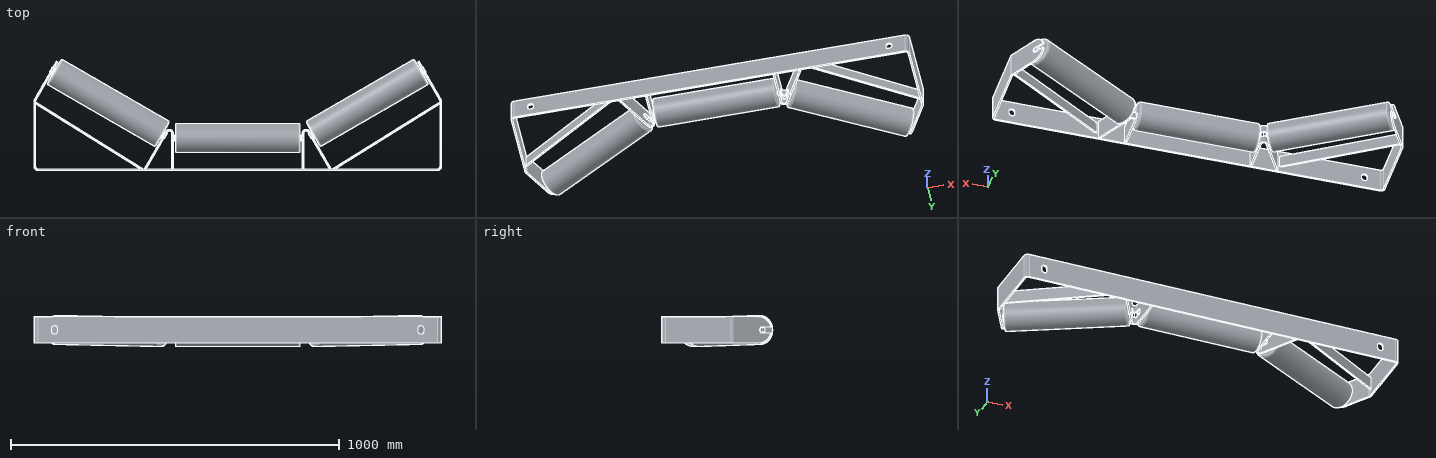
import cadquery as cq
import math


frame_length = 1240.0
frame_width = 80.0
frame_thickness = 5.0
frame_bend_radius = 12.0
leg_crown_beyond_shaft = 32.0
mount_hole_x = 557.5
mount_hole_width = 18.0
mount_hole_height = 26.0

roller_diameter = 89.0
roller_length = 380.0
roller_edge_radius = 4.0
centre_roller_y = 99.0
side_roller_x = 393.9
side_roller_y = 205.9
trough_angle = 30.0
roller_drop = 6.9

shaft_diameter = 18.0
shaft_flat_width = 14.0
shaft_flat_start = 2.0
side_shaft_overhang = 2.0
centre_end_gap = 6.0
side_end_gap = 5.2

bracket_thickness = 5.0
bracket_bend_inner_radius = 7.0

brace_thickness = 5.0
brace_width = 40.0
brace_top_y = 208.5
brace_foot_x = 288.0

axis_cos = math.cos(math.radians(trough_angle))
axis_sin = math.sin(math.radians(trough_angle))
half_length = frame_length / 2
half_width = frame_width / 2
frame_bend_inner_radius = frame_bend_radius - frame_thickness
roller_radius = roller_diameter / 2
shaft_radius = shaft_diameter / 2
centre_reach = roller_length / 2 + centre_end_gap
side_reach = roller_length / 2 + side_end_gap
outer_slot_station = side_reach + frame_thickness / 2
inner_slot_station = -side_reach - bracket_thickness / 2
side_tilt = math.degrees(math.atan(roller_drop / (outer_slot_station - inner_slot_station)))
side_roller_z = -roller_drop * outer_slot_station / (outer_slot_station - inner_slot_station)
bracket_half_width = half_width - roller_drop


def side_axis_point(station, rise=0.0):
    """Point at a station along the left side roller's axis (outward positive), raised square to the axis."""
    return (
        -side_roller_x - station * axis_cos + rise * axis_sin,
        side_roller_y + station * axis_sin + rise * axis_cos,
    )


def leg_point_at_y(station, y):
    """Point at a given Y on the line square to the side roller's axis at a station."""
    axis_x, axis_y = side_axis_point(station)
    return (axis_x + (y - axis_y) * axis_sin / axis_cos, y)


def leg_point_at_x(station, x):
    """Point at a given X on the line square to the side roller's axis at a station."""
    axis_x, axis_y = side_axis_point(station)
    return (x, axis_y + (x - axis_x) * axis_cos / axis_sin)


def on_side_axis(body, station):
    """Move a body built along X at the origin onto the left side roller's axis."""
    x, y = side_axis_point(station)
    return body.rotate((0, 0, 0), (0, 0, 1), -trough_angle).translate((x, y, 0))


def tilted(body):
    """Tilt a body about Y by the slope that the roller drop gives a side roller."""
    return body.rotate((0, 0, 0), (0, 1, 0), side_tilt)


def mirrored(body):
    return body.mirror("YZ")


def plate(points, z_bottom, z_top):
    """Plate of the given XY outline between two Z levels."""
    return cq.Workplane("XY").workplane(offset=z_bottom).polyline(points).close().extrude(z_top - z_bottom)


def round_bends(body, corners, radius):
    """Round the bend edges along Z that pass through the given XY corners."""
    for x, y in corners:
        nearest = cq.selectors.NearestToPointSelector((x, y, body.val().CenterOfBoundBox().z))
        body = body.edges("|Z").edges(nearest).fillet(radius)
    return body


def shaft_slot(thickness):
    """Cutter along X for a shaft at the origin: round at the bottom and open upward in Y."""
    cut_length = 3 * thickness
    return (
        cq.Workplane("YZ").workplane(offset=-cut_length / 2)
        .moveTo(frame_width, -shaft_radius)
        .lineTo(0, -shaft_radius)
        .threePointArc((-shaft_radius, 0), (0, shaft_radius))
        .lineTo(frame_width, shaft_radius)
        .close()
        .extrude(cut_length)
    )


def leg_end_trim():
    """Cutter that rounds the end of a frame leg to a half circle."""
    cut_length = 3 * frame_thickness
    crown_centre = leg_crown_beyond_shaft - half_width
    return (
        cq.Workplane("YZ").workplane(offset=-cut_length / 2)
        .moveTo(crown_centre, -half_width)
        .threePointArc((crown_centre + half_width, 0), (crown_centre, half_width))
        .lineTo(crown_centre + frame_width, half_width)
        .lineTo(crown_centre + frame_width, -half_width)
        .close()
        .extrude(cut_length)
    )


def make_frame():
    inner_x = -half_length + frame_thickness
    outer_station = side_reach + frame_thickness
    outer_knee = leg_point_at_x(outer_station, -half_length)
    inner_knee = leg_point_at_x(side_reach, inner_x)
    outer_foot = (-half_length, 0)
    inner_foot = (inner_x, frame_thickness)
    left_outline = [
        outer_foot,
        outer_knee,
        side_axis_point(outer_station, leg_crown_beyond_shaft),
        side_axis_point(side_reach, leg_crown_beyond_shaft),
        inner_knee,
        inner_foot,
    ]
    right_outline = [(-x, y) for x, y in reversed(left_outline)]
    frame = plate(left_outline + right_outline, -half_width, half_width)
    for radius, corners in (
        (frame_bend_radius, [outer_foot, outer_knee]),
        (frame_bend_inner_radius, [inner_foot, inner_knee]),
    ):
        both_sides = corners + [(-x, y) for x, y in corners]
        frame = round_bends(frame, both_sides, radius)

    trim = on_side_axis(leg_end_trim(), outer_slot_station)
    slot = on_side_axis(tilted(shaft_slot(frame_thickness)), outer_slot_station)
    for cutter in (trim, slot):
        frame = frame.cut(cutter).cut(mirrored(cutter))

    mount_holes = (
        cq.Workplane("XZ").pushPoints([(-mount_hole_x, 0), (mount_hole_x, 0)])
        .slot2D(mount_hole_height, mount_hole_width, 90)
        .extrude(-frame_thickness)
    )
    return frame.cut(mount_holes)


def make_bracket():
    """Left bracket: an upright for the centre roller and a leaning leg for the side roller."""
    upright_face_x = -centre_reach
    upright_back_x = upright_face_x - bracket_thickness
    leg_face = -side_reach
    leg_back = leg_face - bracket_thickness
    outer_apex = leg_point_at_x(leg_face, upright_face_x)
    inner_apex = leg_point_at_x(leg_back, upright_back_x)
    outline = [
        leg_point_at_y(leg_face, frame_thickness),
        outer_apex,
        (upright_face_x, frame_thickness),
        (upright_back_x, frame_thickness),
        inner_apex,
        leg_point_at_y(leg_back, frame_thickness),
    ]
    bracket = plate(outline, -roller_drop - bracket_half_width, -roller_drop + bracket_half_width)
    bracket = round_bends(bracket, [outer_apex], bracket_bend_inner_radius + bracket_thickness)
    bracket = round_bends(bracket, [inner_apex], bracket_bend_inner_radius)

    slot = shaft_slot(bracket_thickness)
    side_slot = on_side_axis(tilted(slot), inner_slot_station).translate((0, 0, -roller_drop))
    upright_middle_x = (upright_face_x + upright_back_x) / 2
    centre_slot = slot.translate((upright_middle_x, centre_roller_y, -roller_drop))
    return bracket.cut(side_slot).cut(centre_slot)


def make_brace():
    """Left brace, its ends cut to lie on the upright and on the base."""
    wall_x = -half_length + frame_thickness
    run = -brace_foot_x - wall_x
    drop = brace_top_y - frame_thickness
    length = math.hypot(run, drop)
    outline = [
        (wall_x, brace_top_y),
        (-brace_foot_x, frame_thickness),
        (-brace_foot_x - brace_thickness * length / drop, frame_thickness),
        (wall_x, brace_top_y - brace_thickness * length / run),
    ]
    return plate(outline, -brace_width / 2, brace_width / 2)


def make_roller(shaft_end_length):
    """Roller and its shaft, revolved about X and centred on the origin, with flats at both shaft ends."""
    half_roller = roller_length / 2
    half_shaft = half_roller + shaft_end_length
    corner_offset = roller_edge_radius * (1 - math.sqrt(0.5))
    roller = (
        cq.Workplane("XZ")
        .moveTo(-half_shaft, 0)
        .lineTo(-half_shaft, shaft_radius)
        .lineTo(-half_roller, shaft_radius)
        .lineTo(-half_roller, roller_radius - roller_edge_radius)
        .threePointArc(
            (-half_roller + corner_offset, roller_radius - corner_offset),
            (-half_roller + roller_edge_radius, roller_radius),
        )
        .lineTo(half_roller - roller_edge_radius, roller_radius)
        .threePointArc(
            (half_roller - corner_offset, roller_radius - corner_offset),
            (half_roller, roller_radius - roller_edge_radius),
        )
        .lineTo(half_roller, shaft_radius)
        .lineTo(half_shaft, shaft_radius)
        .lineTo(half_shaft, 0)
        .close()
        .revolve(360, (0, 0, 0), (1, 0, 0))
    )
    flat_length = shaft_end_length - shaft_flat_start
    for x_side in (-1, 1):
        for z_side in (-1, 1):
            flat = cq.Workplane("XY").box(flat_length, shaft_diameter, shaft_diameter).translate((
                x_side * (half_shaft - flat_length / 2),
                0,
                z_side * (shaft_flat_width + shaft_diameter) / 2,
            ))
            roller = roller.cut(flat)
    return roller


frame = make_frame()
left_bracket = make_bracket()
left_brace = make_brace()
centre_roller = make_roller(centre_end_gap + bracket_thickness)
centre_roller = centre_roller.translate((0, centre_roller_y, -roller_drop))
left_roller = make_roller(side_end_gap + frame_thickness + side_shaft_overhang)
left_roller = on_side_axis(tilted(left_roller), 0).translate((0, 0, side_roller_z))

bodies = [frame, centre_roller]
for left_body in (left_bracket, left_brace, left_roller):
    bodies += [left_body, mirrored(left_body)]
result = cq.Compound.makeCompound([body.val() for body in bodies])